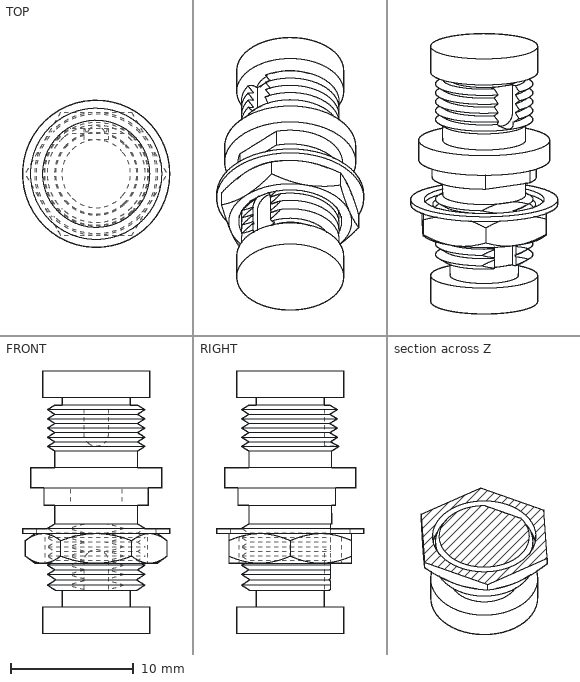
import cadquery as cq
import math


total_height = 21.4

cap_radius = 4.36
cap_height = 2.18
cap_stem_radius = 2.78

housing_bottom = 3.5
lower_thread_top = 8.95
step_bottom = 10.44
flange_bottom = 11.87
flange_top = 13.52
housing_top = 18.6

root_radius = 3.38
end_root_radius = 3.3
crest_radius = 3.98
step_radius = 4.25
flange_radius = 5.35

pitch = 0.75
upper_thread_count = 5
lower_thread_count = 6

end_ring_height = 0.88
end_ring_top = housing_bottom + end_ring_height

step_flat_y = 3.7
thread_flat_y = 3.3
keyway_radius = 1.0
keyway_length = 3.34
keyway_floor_y = cap_stem_radius

washer_diameter = 12.0
washer_hole_radius = 4.88
washer_top = 8.55
washer_bottom = 8.15
nut_top = washer_bottom
nut_bottom = 5.73
nut_across_flats = 10.0
nut_hole_radius = 4.2
nut_chamfer_drop = 0.58


def thread_points(top, count):
    """Crest and lower root of each thread ring as (radius, z), from the top down."""
    points = []
    for index in range(count):
        ring_top = top - index * pitch
        points.append((crest_radius, ring_top - pitch / 2))
        points.append((root_radius, ring_top - pitch))
    return points


def housing_blank():
    """Turned housing with both threads, the flange and the locating step."""
    lower_thread = thread_points(lower_thread_top, lower_thread_count)[:-1]
    end_ring = [
        (end_root_radius, end_ring_top),
        (crest_radius, housing_bottom + end_ring_height / 2),
        (end_root_radius, housing_bottom),
    ]
    profile = [(0, housing_top), (root_radius, housing_top)]
    profile += thread_points(housing_top, upper_thread_count)
    profile += [
        (root_radius, flange_top),
        (flange_radius, flange_top),
        (flange_radius, flange_bottom),
        (step_radius, flange_bottom),
        (step_radius, step_bottom),
        (root_radius, step_bottom),
        (root_radius, lower_thread_top),
    ]
    profile += lower_thread + end_ring + [(0, housing_bottom)]
    return cq.Workplane("XZ").polyline(profile).close().revolve(360, (0, 0, 0), (0, 1, 0))


def flat_cutter(flat_y, bottom, top):
    """Block that removes everything beyond flat_y on the +Y side."""
    width = 2 * flange_radius
    depth = flange_radius - flat_y
    base = cq.Workplane("XY", origin=(0, flat_y, bottom))
    return base.box(width, depth, top - bottom, centered=(True, False, False))


def keyway_cutter(end_z, direction):
    """Round-ended keyway running from a housing end; direction is +1 upward, -1 downward."""
    centre_z = end_z + direction * (keyway_length - keyway_radius)
    return (
        cq.Workplane("XZ", origin=(0, keyway_floor_y, 0))
        .moveTo(-keyway_radius, end_z)
        .lineTo(-keyway_radius, centre_z)
        .threePointArc((0, centre_z + direction * keyway_radius), (keyway_radius, centre_z))
        .lineTo(keyway_radius, end_z)
        .close()
        .extrude(keyway_floor_y - crest_radius)
    )


def make_housing():
    """Housing with its two flats and its two keyways."""
    return (
        housing_blank()
        .cut(flat_cutter(step_flat_y, step_bottom, flange_bottom))
        .cut(flat_cutter(thread_flat_y, housing_bottom, lower_thread_top))
        .cut(keyway_cutter(housing_top, -1))
        .cut(keyway_cutter(housing_bottom, 1))
    )


def make_cap(outer_z, housing_end_z):
    """Dust cap: a disc at the outer end and a stem that reaches the housing end."""
    direction = math.copysign(1, housing_end_z - outer_z)
    disc = cq.Workplane("XY", origin=(0, 0, outer_z)).circle(cap_radius).extrude(direction * cap_height)
    stem = cq.Workplane("XY", origin=(0, 0, outer_z)).circle(cap_stem_radius).extrude(housing_end_z - outer_z)
    return disc.union(stem)


def make_washer():
    """Plain washer resting on the nut."""
    base = cq.Workplane("XY", origin=(0, 0, washer_bottom))
    return base.circle(washer_diameter / 2).circle(washer_hole_radius).extrude(washer_top - washer_bottom)


def make_nut():
    """Hex nut with corners on the X axis, its corners chamfered by cones at both faces."""
    flat_radius = nut_across_flats / 2
    corner_radius = flat_radius / math.cos(math.radians(30))
    base = cq.Workplane("XY", origin=(0, 0, nut_bottom))
    height = nut_top - nut_bottom
    hexagon = base.polygon(6, 2 * corner_radius).extrude(height)
    envelope = (
        cq.Workplane("XZ")
        .polyline(
            [
                (0, nut_bottom),
                (flat_radius, nut_bottom),
                (corner_radius, nut_bottom + nut_chamfer_drop),
                (corner_radius, nut_top - nut_chamfer_drop),
                (flat_radius, nut_top),
                (0, nut_top),
            ]
        )
        .close()
        .revolve(360, (0, 0, 0), (0, 1, 0))
    )
    hole = base.circle(nut_hole_radius).extrude(height)
    return hexagon.intersect(envelope).cut(hole)


housing = make_housing()
washer = make_washer()
nut = make_nut()
cap_spans = [(0, housing_bottom), (total_height, housing_top)]
caps = [make_cap(outer_z, housing_end_z) for outer_z, housing_end_z in cap_spans]

bodies = [housing, washer, nut, *caps]

result = cq.Compound.makeCompound([body.solids().val() for body in bodies])